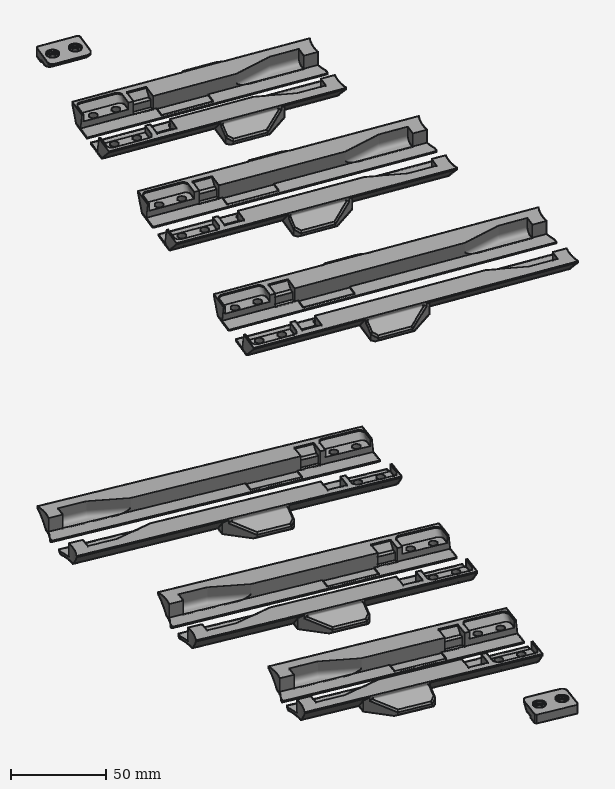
import cadquery as cq
import math

RAIL_HEIGHT = 10.5
BODY_WIDTH = 12.7
RAIL_WIDTH = 21.3
FLANGE_THICKNESS = 1.8
FLANGE_CHAMFER = 1.2
LEAN_TOP_Z = 9.5
UNDERCUT = 8.0
FRONT_CHAMFER = 1.0
FRONT_DRAFT = 1.0

BODY_CORNER_SETBACK = 1.0
SCOOP_X = 6.8
SCOOP_DEPTH = 2.22
SCOOP_END_X = 18.5

EAR_REACH = 9.5
EAR_Y_MIN = 65.5
EAR_TIP_Y_MAX = 88.2
EAR_Y_MAX = 103.0
EAR_HEEL_X = 2.0
EAR_CORNER = 3.0
EAR_ROOT_Z = 8.3
EAR_TIP_Z = 3.5
EAR_ROOT_FILLET = 1.0
EAR_EDGE_CHAMFER = 1.0
EAR_BASE_CHAMFER = 1.2

SEAT_X = 2.0
SEAT_FLOOR_Z = 6.0
SEAT_Y_MIN = 1.8
SEAT_Y_MAX = 27.5
CORNER_RADIUS = 3.0
SCREW_Y = (8.5, 21.5)
RAIL_HOLE_X = 10.0
RAIL_HOLE_DIAMETER = 4.7
RAIL_HOLE_FLOOR_Z = 1.2

CLIP_WIDTH = 17.5
CLIP_LENGTH = 25.0
CLIP_Y_MIN = 3.0
CLIP_FOOT_WIDTH = 6.5
CLIP_FOOT_HEIGHT = 1.2
CLIP_CORNER_CHAMFER = 1.0
CLIP_HOLE_X = 9.0
CLIP_HOLE_DIAMETER = 3.3
COUNTERBORE_DIAMETER = 6.0
COUNTERBORE_DEPTH = 1.8
COUNTERBORE_CHAMFER = 0.5

WINDOW_X = 3.8
WINDOW_Y_MIN = 30.5
WINDOW_Y_MAX = 41.7
WINDOW_FLOOR_Z = 6.0
WINDOW_STEP_X = 10.0

RECESS_Y_MIN = 43.8
RECESS_Y_MAX = 73.5
RECESS_WIDTH = 6.5
RECESS_FLOOR_Z = 1.2

POCKET_DEPTH = 6.5
POCKET_REAR = 10.0
POCKET_BEND = 26.5
POCKET_FRONT = 48.8
POCKET_FILLET = 3.3

RAIL_PAIRS = (
    (138.5, 75.2, 2.5),
    (163.5, 161.5, 3.5),
    (188.5, 260.8, 4.5),
)


def extrude_along_y(points, y_min, y_max):
    """Prism with an XZ outline, running from y_min to y_max."""
    outline = cq.Workplane("XZ", origin=(0, y_max, 0)).polyline(points).close()
    return outline.extrude(y_max - y_min)


def box(x_min, x_max, y_min, y_max, z_min, z_max):
    block = cq.Workplane("XY").box(x_max - x_min, y_max - y_min, z_max - z_min, centered=False)
    return block.translate((x_min, y_min, z_min))


def rail_bar(length):
    """Undercut body and flange, with the drafted front end and the curved rear end."""
    profile = [
        (UNDERCUT, 0),
        (RAIL_WIDTH - FLANGE_CHAMFER, 0),
        (RAIL_WIDTH, FLANGE_CHAMFER),
        (RAIL_WIDTH, FLANGE_THICKNESS),
        (BODY_WIDTH, FLANGE_THICKNESS),
        (BODY_WIDTH, RAIL_HEIGHT),
        (0, RAIL_HEIGHT),
        (0, LEAN_TOP_Z),
    ]
    bar = extrude_along_y(profile, 0, length)
    plan = (
        cq.Workplane("XY")
        .lineTo(RAIL_WIDTH, 0)
        .lineTo(RAIL_WIDTH, length)
        .lineTo(SCOOP_END_X, length)
        .threePointArc((SCOOP_X, length - SCOOP_DEPTH), (0, length - BODY_CORNER_SETBACK))
        .close()
        .extrude(RAIL_HEIGHT)
    )
    front_wedge = (
        cq.Workplane("YZ")
        .polyline([(0, FLANGE_THICKNESS), (FRONT_DRAFT, RAIL_HEIGHT), (0, RAIL_HEIGHT)])
        .close()
        .extrude(RAIL_WIDTH)
    )
    front_bevel = (
        cq.Workplane("YZ")
        .polyline([(0, 0), (FRONT_CHAMFER, 0), (0, FRONT_CHAMFER)])
        .close()
        .extrude(RAIL_WIDTH)
    )
    return bar.intersect(plan).cut(front_wedge).cut(front_bevel)


def ear():
    """Sloping grip on the outer side, chamfered around its upper face."""
    profile = [
        (UNDERCUT, 0),
        (EAR_BASE_CHAMFER - EAR_REACH, 0),
        (-EAR_REACH, EAR_BASE_CHAMFER),
        (-EAR_REACH, EAR_TIP_Z),
        (0, EAR_ROOT_Z),
        (0, RAIL_HEIGHT),
        (UNDERCUT, RAIL_HEIGHT),
    ]
    plan = [
        (UNDERCUT, EAR_Y_MIN),
        (EAR_CORNER - EAR_REACH, EAR_Y_MIN),
        (-EAR_REACH, EAR_Y_MIN + EAR_CORNER),
        (-EAR_REACH, EAR_TIP_Y_MAX),
        (EAR_HEEL_X, EAR_Y_MAX),
        (UNDERCUT, EAR_Y_MAX),
    ]
    outline = cq.Workplane("XY").polyline(plan).close().extrude(RAIL_HEIGHT)
    block = extrude_along_y(profile, EAR_Y_MIN, EAR_Y_MAX).intersect(outline)
    slope_normal = cq.Vector(EAR_TIP_Z - EAR_ROOT_Z, 0, EAR_REACH)
    slope = block.faces(cq.selectors.ParallelDirSelector(slope_normal))
    block = slope.edges("not >X").chamfer(EAR_EDGE_CHAMFER)
    slope = block.faces(cq.selectors.ParallelDirSelector(slope_normal))
    return slope.edges(">X").fillet(EAR_ROOT_FILLET)


def rounded_end_plan(end_x, straight_x, y_min, y_max, z):
    """Rectangle at height z, from straight_x to end_x, with both corners at end_x rounded."""
    arc_x = end_x - math.copysign(CORNER_RADIUS, end_x - straight_x)
    return (
        cq.Workplane("XY", origin=(0, 0, z))
        .moveTo(straight_x, y_min)
        .lineTo(arc_x, y_min)
        .tangentArcPoint((end_x, y_min + CORNER_RADIUS), relative=False)
        .lineTo(end_x, y_max - CORNER_RADIUS)
        .tangentArcPoint((arc_x, y_max), relative=False)
        .lineTo(straight_x, y_max)
        .close()
    )


def leaning_block(rim_x, straight_x, y_min, y_max):
    """Block from the seat floor up: a 45-degree end with rounded corners under an upright rim."""
    lean_height = LEAN_TOP_Z - SEAT_FLOOR_Z
    foot_x = rim_x - math.copysign(lean_height, rim_x - straight_x)
    foot = rounded_end_plan(foot_x, straight_x, y_min, y_max, SEAT_FLOOR_Z)
    rim = rounded_end_plan(rim_x, straight_x, y_min, y_max, LEAN_TOP_Z)
    leaning_part = cq.Solid.makeLoft([foot.wire().val(), rim.wire().val()], True)
    return rim.extrude(RAIL_HEIGHT - LEAN_TOP_Z).union(cq.Workplane(leaning_part))


def clip_seat():
    """Cutter for the seat, open to the channel."""
    return leaning_block(SEAT_X, BODY_WIDTH, SEAT_Y_MIN, SEAT_Y_MAX)


def rail_holes():
    centres = [(RAIL_HOLE_X, y) for y in SCREW_Y]
    plane = cq.Workplane("XY", origin=(0, 0, RAIL_HOLE_FLOOR_Z))
    return plane.pushPoints(centres).circle(RAIL_HOLE_DIAMETER / 2).extrude(SEAT_FLOOR_Z - RAIL_HOLE_FLOOR_Z)


def window():
    """Cutter for the window: leaning outer wall, flat floor, then a drop to just below the flange top."""
    profile = [
        (WINDOW_X, RAIL_HEIGHT),
        (WINDOW_X, LEAN_TOP_Z),
        (WINDOW_X + LEAN_TOP_Z - WINDOW_FLOOR_Z, WINDOW_FLOOR_Z),
        (WINDOW_STEP_X, WINDOW_FLOOR_Z),
        (WINDOW_STEP_X, RECESS_FLOOR_Z),
        (BODY_WIDTH, RECESS_FLOOR_Z),
        (BODY_WIDTH, RAIL_HEIGHT),
    ]
    return extrude_along_y(profile, WINDOW_Y_MIN, WINDOW_Y_MAX)


def flange_recess():
    x_max = BODY_WIDTH + RECESS_WIDTH
    return box(BODY_WIDTH, x_max, RECESS_Y_MIN, RECESS_Y_MAX, RECESS_FLOOR_Z, FLANGE_THICKNESS)


def wall_pocket(length):
    """Cutter for the wall pocket, which runs out to the wall and has a rounded lower edge."""
    back_x = BODY_WIDTH - POCKET_DEPTH
    plan = [
        (BODY_WIDTH, length - POCKET_REAR),
        (back_x, length - POCKET_REAR),
        (back_x, length - POCKET_BEND),
        (BODY_WIDTH, length - POCKET_FRONT),
    ]
    floor_plane = cq.Workplane("XY", origin=(0, 0, RECESS_FLOOR_Z))
    cutter = floor_plane.polyline(plan).close().extrude(RAIL_HEIGHT - RECESS_FLOOR_Z)
    back_edges = cutter.faces("<Z").edges("not(>X or >Y)")
    return back_edges.fillet(POCKET_FILLET)


def rail(length):
    """Left-hand rail with its outer side at X = 0 and its front end at Y = 0."""
    bar = rail_bar(length).union(ear())
    bar = bar.cut(clip_seat()).cut(rail_holes()).cut(window())
    return bar.cut(flange_recess()).cut(wall_pocket(length))


def clip():
    """Joining clip: leaning inner end, lower foot and two counterbored screw holes."""
    y_max = CLIP_Y_MIN + CLIP_LENGTH
    body = leaning_block(CLIP_WIDTH, 0, CLIP_Y_MIN, y_max)
    foot_z = SEAT_FLOOR_Z - CLIP_FOOT_HEIGHT
    foot = box(0, CLIP_FOOT_WIDTH, CLIP_Y_MIN, y_max, foot_z, RAIL_HEIGHT)
    block = body.union(foot).edges("|Z and <X").chamfer(CLIP_CORNER_CHAMFER)
    holes = [(CLIP_HOLE_X, y) for y in SCREW_Y]
    top = cq.Workplane("XY", origin=(0, 0, RAIL_HEIGHT))
    bores = top.pushPoints(holes).circle(CLIP_HOLE_DIAMETER / 2).extrude(-RAIL_HEIGHT)
    counterbores = top.pushPoints(holes).circle(COUNTERBORE_DIAMETER / 2).extrude(-COUNTERBORE_DEPTH)
    counterbores = counterbores.union(
        top.pushPoints(holes).circle(COUNTERBORE_DIAMETER / 2 + COUNTERBORE_CHAMFER)
        .extrude(-COUNTERBORE_CHAMFER, taper=45)
    )
    return block.cut(bores).cut(counterbores)


bodies = [clip().val()]
for rail_length, mirror_x, half_gap in RAIL_PAIRS:
    left_rail = rail(rail_length).translate((-half_gap - RAIL_WIDTH, 0, 0))
    right_rail = left_rail.mirror("YZ")
    for hand in (left_rail, right_rail):
        bodies.append(hand.translate((mirror_x, 0, 0)).val())

result = cq.Compound.makeCompound(bodies)